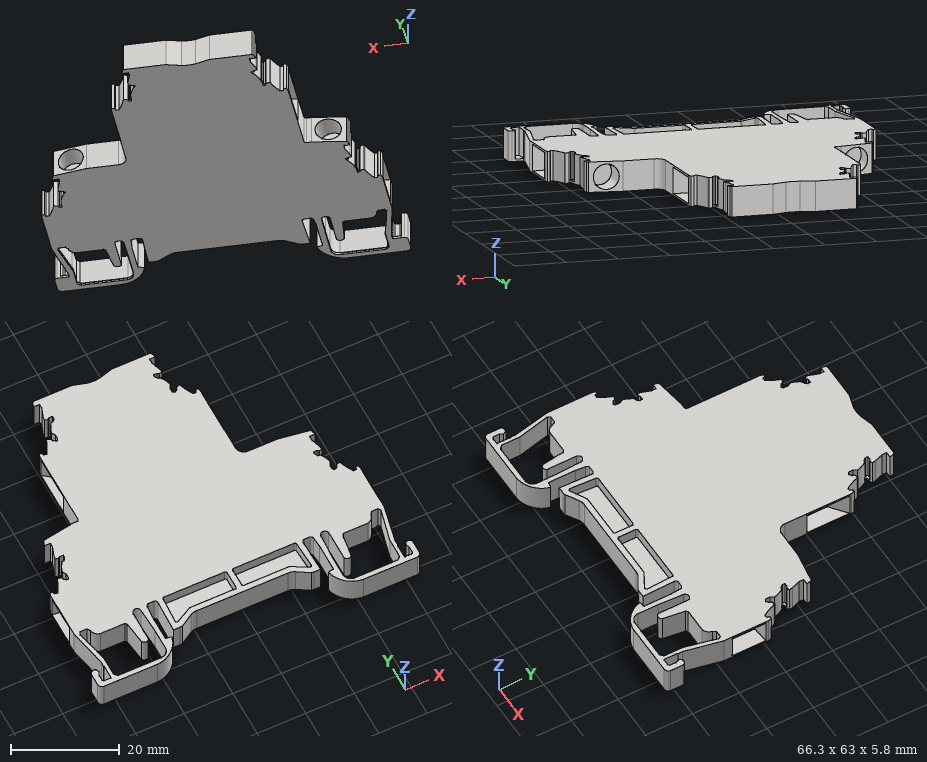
import cadquery as cq
WIDTH = 66.3
HEIGHT = 63.0
THICKNESS = 5.8
BASE_SKIN = 0.45
CUT_HEIGHT = THICKNESS - BASE_SKIN

LOWER_WALL = 31.95
LOWER_TOOTH = 23.2
SHELF_TOP = 35.3
SHELF_HALF_FLAT = 21.1

UPPER_CENTRE = -3.2
UPPER_WALL = 16.6
SHOULDER_RISE = 11.1
UPPER_TOOTH = HEIGHT - SHOULDER_RISE
DIP_HALF_WIDTH = 4.1
DIP_DEPTH = 0.9
LONG_SHELF_FILLET = 1.65
SHORT_SHELF_FILLET = 0.4

UNDERCUT_TOP = 12.9
BODY_BOTTOM = 12.9
BRIDGE_BOTTOM = 7.5
LEG_INNER = 18.5
LEG_OUTER = 17.3
FOOT_TOP = 4.1
FOOT_FLOOR = 1.25
WINDOW_STEP = 0.2

RECESS_DEPTH = 2.3
RECESS_FILLET = 0.3
FUNNEL_DEPTH = 3.4
FUNNEL_MARGIN = 0.4
FUNNEL_TAPER = 0.1
SCREW_X = 24.15
SCREW_DIAMETER = 4.8
SCREW_BOTTOM = 30.5


def extrude_outline(points, base=0.0, height=THICKNESS):
    return cq.Workplane("XY").workplane(offset=base).polyline(points).close().extrude(height)


def mirrored(half, centre=0.0):
    """Join a half body with its mirror image about X = centre."""
    centred = half.translate((-centre, 0, 0))
    return centred.union(centred.mirror("YZ")).translate((centre, 0, 0))


def shoulder(path, wall, tooth):
    """Draw the stepped latch shoulder inward and up from the top of a left wall."""
    def at(inward, up):
        return (wall + inward, tooth + up)

    return (
        path.lineTo(*at(0, -0.65))
        .lineTo(*at(0.2, 0))
        .lineTo(*at(0.7, 0))
        .lineTo(*at(0.85, -0.5))
        .lineTo(*at(1.45, -0.6))
        .threePointArc(at(2.2, 0.65), at(2.8, 2.1))
        .lineTo(*at(2.85, 2.3))
        .lineTo(*at(3.65, 2.05))
        .lineTo(*at(3.8, 1.6))
        .lineTo(*at(4.25, 1.6))
        .lineTo(*at(4.25, 2.5))
        .threePointArc(at(4.6, 3.9), at(5.3, 5.3))
        .lineTo(*at(5.7, 5.85))
        .lineTo(*at(5.1, 6.15))
        .lineTo(*at(4.45, 6.35))
        .lineTo(*at(4.6, 7.1))
        .lineTo(*at(5.25, 8.95))
        .lineTo(*at(5.25, 9.9))
        .lineTo(*at(4.05, 9.9))
        .lineTo(*at(4.25, 10.75))
        .lineTo(*at(4.5, SHOULDER_RISE))
    )


def shoulder_notches(wall, tooth):
    """Two hooked notches that deepen the shoulder above the base skin."""
    upper = [(5.1, 6.2), (5.45, 6.4), (6.15, 6.4), (6.15, 5.9), (5.8, 5.4), (5.25, 5.25)]
    lower = [(3.85, 1.6), (4.25, 1.25), (4.5, 1.25), (4.8, 1.5), (4.8, 2.45), (4.3, 3.2), (4.2, 2.6)]
    cutters = [
        extrude_outline([(wall + x, tooth + y) for x, y in notch], BASE_SKIN, CUT_HEIGHT)
        for notch in (upper, lower)
    ]
    return cutters[0].union(cutters[1])


def wire_funnel(wall, mouth, inner):
    """Tapered rectangular wire entry in a left wall; mouth and inner are Y ranges."""
    def section(offset, y_range, margin):
        y_low, y_high = y_range
        return (
            cq.Workplane("YZ", origin=(offset, 0, 0))
            .center((y_low + y_high) / 2, THICKNESS / 2)
            .rect(y_high - y_low, THICKNESS - 2 * margin)
        )

    mouth_wire = section(wall, mouth, FUNNEL_MARGIN).wires().val()
    inner_wire = section(wall + FUNNEL_DEPTH, inner, FUNNEL_MARGIN + FUNNEL_TAPER).wires().val()
    return cq.Workplane(cq.Solid.makeLoft([mouth_wire, inner_wire], True))


def lower_half():
    wall = -LOWER_WALL
    path = cq.Workplane("XY").moveTo(0, BRIDGE_BOTTOM).lineTo(-9.35, BRIDGE_BOTTOM)
    path = (
        path.threePointArc((-10.1, 7.4), (-10.75, 7.15))
        .lineTo(-13.25, 5.65)
        .lineTo(-13.8, 5.6)
        .lineTo(-15.2, 5.6)
        .lineTo(-15.0, UNDERCUT_TOP - 0.6)
        .threePointArc((-15.1, UNDERCUT_TOP - 0.2), (-15.5, UNDERCUT_TOP))
        .lineTo(-16.65, UNDERCUT_TOP)
        .threePointArc((-17.0, UNDERCUT_TOP - 0.2), (-17.1, UNDERCUT_TOP - 0.6))
        .lineTo(-LEG_OUTER, 10.3)
        .lineTo(-LEG_OUTER, 4.6)
    )
    path = (
        path.lineTo(-16.1, 4.3)
        .threePointArc((-17.8, 1.45), (-21.2, 0))
        .lineTo(-WIDTH / 2 + 0.85, 0)
        .threePointArc((-WIDTH / 2 + 0.25, 0.25), (-WIDTH / 2, 0.85))
        .lineTo(-WIDTH / 2, FOOT_TOP - 0.6)
        .threePointArc((-WIDTH / 2 + 0.2, FOOT_TOP - 0.2), (-WIDTH / 2 + 0.6, FOOT_TOP))
        .lineTo(-30.35, FOOT_TOP)
        .lineTo(-30.3, 5.05)
        .lineTo(wall, BODY_BOTTOM)
    )
    path = shoulder(path, wall, LOWER_TOOTH)
    body = path.lineTo(-SHELF_HALF_FLAT, SHELF_TOP).lineTo(0, SHELF_TOP).close().extrude(THICKNESS)

    screw_hole = (
        cq.Workplane("XZ", origin=(-SCREW_X, SHELF_TOP, THICKNESS / 2))
        .circle(SCREW_DIAMETER / 2)
        .extrude(SHELF_TOP - SCREW_BOTTOM)
    )
    return (
        body.cut(foot_window(0).extrude(THICKNESS))
        .cut(foot_window(WINDOW_STEP, BASE_SKIN).extrude(CUT_HEIGHT))
        .cut(foot_nook())
        .cut(bridge_recess())
        .cut(shoulder_notches(wall, LOWER_TOOTH))
        .cut(wire_funnel(wall, mouth=(14.8, 21.95), inner=(15.25, 21.55)))
        .cut(screw_hole)
    )


def foot_window(step, base=0.0):
    """Opening between body, outer strut and sprung leg, with a tongue hanging into it."""
    floor = FOOT_FLOOR - step
    leg = -LEG_INNER + step
    strut = -29.25 - step
    strut_top = -30.8 - step
    return (
        cq.Workplane("XY").workplane(offset=base)
        .moveTo(strut_top, UNDERCUT_TOP - 0.5)
        .lineTo(strut_top + 0.3, UNDERCUT_TOP)
        .lineTo(-29.3, UNDERCUT_TOP)
        .lineTo(-28.9, 12.25)
        .threePointArc((-28.5, 11.4), (-27.6, 10.9))
        .lineTo(-22.55, 10.9)
        .lineTo(-22.2, 10.55)
        .lineTo(-21.6, 5.9)
        .threePointArc((-20.8, 5.45), (-20.15, 5.9))
        .lineTo(-20.15, 12.2)
        .threePointArc((-19.35, UNDERCUT_TOP), (-18.55, 12.2))
        .lineTo(leg, 6.95)
        .lineTo(leg, floor + 1.6)
        .threePointArc((leg - 0.45, floor + 0.45), (leg - 1.6, floor))
        .lineTo(strut + 0.6, floor)
        .lineTo(strut, floor + 0.6)
        .lineTo(strut, 5.65)
        .close()
    )


def foot_nook():
    """Hook-shaped groove behind the upturned end of the foot."""
    inner = -30.2
    outer = -LOWER_WALL
    floor = 1.1
    points = [
        (inner, FOOT_TOP), (inner, floor), (outer + 0.25, floor), (outer, floor + 0.25),
        (outer, 2.7), (outer + 0.3, 3.4), (outer, FOOT_TOP),
    ]
    return extrude_outline(points, BASE_SKIN, CUT_HEIGHT)


def bridge_recess():
    """Blind pocket in one half of the bridge, following its cranked underside."""
    rib_half = 0.6
    floor = 8.7
    points = [
        (-rib_half, UNDERCUT_TOP), (-13.7, UNDERCUT_TOP), (-14.05, 6.9),
        (-13.5, 6.9), (-10.3, floor), (-rib_half, floor),
    ]
    pocket = extrude_outline(points, THICKNESS - RECESS_DEPTH, RECESS_DEPTH)
    return pocket.edges("|Z").fillet(RECESS_FILLET)


def upper_half():
    wall = UPPER_CENTRE - UPPER_WALL
    root = 33.15
    path = shoulder(cq.Workplane("XY").moveTo(wall, root), wall, UPPER_TOOTH)
    body = (
        path.lineTo(UPPER_CENTRE, HEIGHT)
        .lineTo(UPPER_CENTRE, root)
        .close()
        .extrude(THICKNESS)
    )
    return (
        body.cut(shoulder_notches(wall, UPPER_TOOTH))
        .cut(wire_funnel(wall, mouth=(41.65, 50.85), inner=(42.35, 48.0)))
    )


def top_dip():
    """Shallow finger dip in the middle of the top edge: two ramps joined by an arc."""
    arc_half = 1.3
    arc_ends = HEIGHT - DIP_DEPTH + 0.1
    return (
        cq.Workplane("XY")
        .moveTo(UPPER_CENTRE - DIP_HALF_WIDTH, HEIGHT)
        .lineTo(UPPER_CENTRE - arc_half, arc_ends)
        .threePointArc((UPPER_CENTRE, HEIGHT - DIP_DEPTH), (UPPER_CENTRE + arc_half, arc_ends))
        .lineTo(UPPER_CENTRE + DIP_HALF_WIDTH, HEIGHT)
        .close()
        .extrude(THICKNESS)
    )


upper_tier = mirrored(upper_half(), UPPER_CENTRE).cut(top_dip())
result = mirrored(lower_half()).union(upper_tier)

for offset, radius in ((UPPER_WALL, LONG_SHELF_FILLET), (-UPPER_WALL, SHORT_SHELF_FILLET)):
    corner = (UPPER_CENTRE + offset, SHELF_TOP, THICKNESS / 2)
    result = result.edges("|Z").edges(cq.NearestToPointSelector(corner)).fillet(radius)